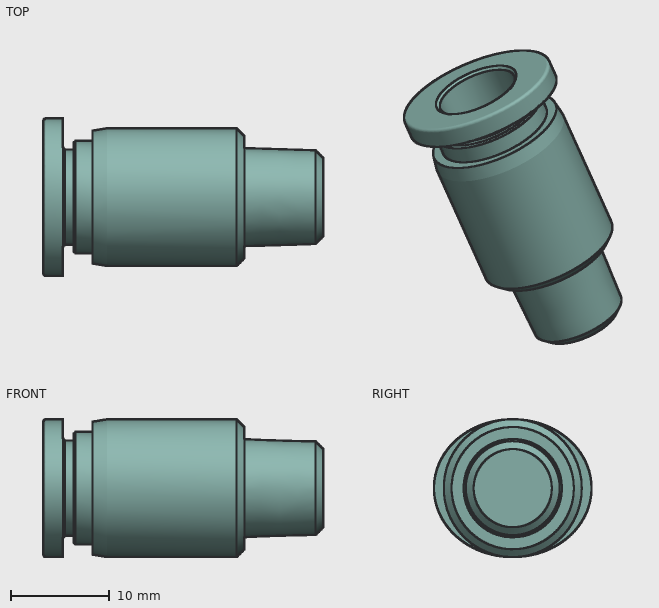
import cadquery as cq


tube_bore_diameter = 8.2

flange_width = 16.0
flange_height = 14.0
flange_thickness = 2.0
flange_edge_radius = 0.3
neck_diameter = 9.7
neck_root_chamfer = 0.2
collar_start = 3.1
collar_diameter = 11.45
collar_chamfer = 0.2
ring_length = 5.0
tube_lead_in = 0.3

overall_length = 28.4
barrel_start = ring_length
barrel_diameter = 14.0
nose_diameter = 13.5
nose_length = 1.5
barrel_end = 20.4
end_chamfer = 0.8
stud_root_diameter = 9.978
stud_taper = 1 / 16
bore_end = 18.0


def revolve_about_x(points):
    """Revolve a closed (x, radius) outline about the X axis."""
    return cq.Workplane("XY").polyline(points).close().revolve(360, (0, 0, 0), (1, 0, 0))


def make_release_ring():
    """Oval push flange on a round neck with a collar behind it, bored for the tube."""
    flange = (
        cq.Workplane("YZ")
        .ellipse(flange_width / 2, flange_height / 2)
        .extrude(flange_thickness)
        .faces("<X")
        .edges()
        .fillet(flange_edge_radius)
    )
    neck_radius = neck_diameter / 2
    collar_radius = collar_diameter / 2
    neck_and_collar = revolve_about_x([
        (0, 0),
        (0, neck_radius),
        (flange_thickness, neck_radius),
        (flange_thickness, neck_radius + neck_root_chamfer),
        (flange_thickness + neck_root_chamfer, neck_radius),
        (collar_start, neck_radius),
        (collar_start, collar_radius - collar_chamfer),
        (collar_start + collar_chamfer, collar_radius),
        (ring_length, collar_radius),
        (ring_length, 0),
    ])
    bore_radius = tube_bore_diameter / 2
    bore = revolve_about_x([
        (0, 0),
        (0, bore_radius + tube_lead_in),
        (tube_lead_in, bore_radius),
        (ring_length, bore_radius),
        (ring_length, 0),
    ])
    return flange.union(neck_and_collar).cut(bore)


def make_body():
    """Barrel and tapered stud with a blind bore for the tube."""
    barrel_radius = barrel_diameter / 2
    stud_root_radius = stud_root_diameter / 2
    stud_taper_end = overall_length - end_chamfer
    stud_tip_radius = stud_root_radius - (stud_taper_end - barrel_end) * stud_taper / 2
    outside = revolve_about_x([
        (barrel_start, 0),
        (barrel_start, nose_diameter / 2),
        (barrel_start + nose_length, barrel_radius),
        (barrel_end - end_chamfer, barrel_radius),
        (barrel_end, barrel_radius - end_chamfer),
        (barrel_end, stud_root_radius),
        (stud_taper_end, stud_tip_radius),
        (overall_length, stud_tip_radius - end_chamfer),
        (overall_length, 0),
    ])
    tube_bore = (
        cq.Workplane("YZ")
        .workplane(offset=barrel_start)
        .circle(tube_bore_diameter / 2)
        .extrude(bore_end - barrel_start)
    )
    return outside.cut(tube_bore)


release_ring = make_release_ring()
body = make_body()

result = cq.Compound.makeCompound([release_ring.val(), body.val()])